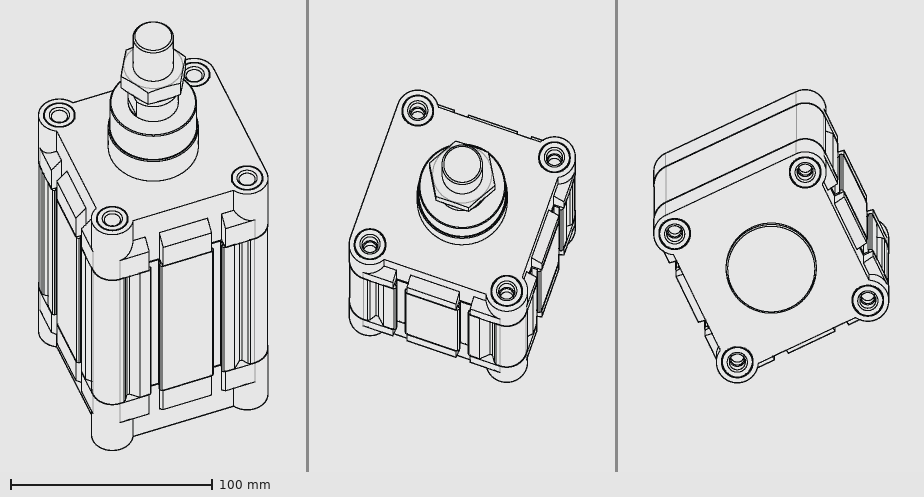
import cadquery as cq
import math


total_height = 258.0
rear_boss_height = 4.6
cap_height = 35.5
barrel_height = 96.5
lower_collar_height = 15.7
upper_collar_height = 18.5

rear_cap_bottom = rear_boss_height
barrel_bottom = rear_cap_bottom + cap_height
barrel_top = barrel_bottom + barrel_height
front_cap_top = barrel_top + cap_height
lower_collar_top = front_cap_top + lower_collar_height
collar_top = lower_collar_top + upper_collar_height

cap_width = 93.0
screw_spacing = 72.0
half_width = cap_width / 2
corner_offset = screw_spacing / 2
column_radius = half_width - corner_offset
barrel_inset = 0.3

plate_half_width = 41.0
block_depth = half_width - plate_half_width
block_height = 14.7
notch_inner = 13.0
notch_outer = 20.5
cap_blocks = [
    (-corner_offset, -notch_outer),
    (-notch_inner, notch_inner),
    (notch_outer, corner_offset),
]
relieved_side_angles = [-90, 0, 90]

screw_head_diameter = 15.0
screw_seat_diameter = 15.7
screw_seat_depth = 2.5
countersink_diameter = 10.0
socket_diameter = 8.0
socket_depth = 10.3
core_hole_diameter = 6.7
core_hole_depth = 18.0

slot_center = (notch_inner + notch_outer) / 2
slot_mouth_half_width = 3.0
slot_neck_half_width = 2.3
slot_mouth_depth = 0.8
slot_lip_depth = 1.8
slot_depth = 4.6
trench_inner_edge = 25.3
trench_floor_start = 29.5
trench_floor_end = 30.7
trench_chamfer_start = 32.8
trench_outer_edge = 33.8
trench_depth = 3.9
trench_chamfer_depth = 0.8

boss_diameter = 45.0
upper_collar_diameter = 43.0
rear_boss_chamfer = 0.8
collar_chamfer = 0.5

rod_diameter = 25.0
rod_shoulder_height = 11.5
wrench_flat_width = 22.2
wrench_flat_clearance = 0.8
thread_diameter = 20.0
thread_tip_diameter = 18.3

nut_across_flats = 30.0
nut_height = 10.0
nut_bottom = 225.0
nut_face_diameter = 29.5
nut_chamfer_angle = 15


def box_between(x_range, y_range, z_range):
    size = [high - low for low, high in (x_range, y_range, z_range)]
    corner = (x_range[0], y_range[0], z_range[0])
    return cq.Workplane("XY").box(*size, centered=False).translate(corner)


def cylinder(diameter, bottom, height):
    return cq.Workplane("XY").workplane(offset=bottom).circle(diameter / 2).extrude(height)


def corner_points():
    return [(x, y) for x in (-corner_offset, corner_offset) for y in (-corner_offset, corner_offset)]


def edge_block(start, end):
    """Raised block on the -Y side of a cap, with a 45 degree slope back to the plate."""
    profile = [
        (-plate_half_width, 0),
        (-half_width, 0),
        (-half_width, block_height),
        (-plate_half_width, block_height + block_depth),
    ]
    return cq.Workplane("YZ").workplane(offset=start).polyline(profile).close().extrude(end - start)


def screw_recess():
    """Ring gap around a screw head plus its stepped socket, sunk from the cap's top face."""
    ring = (
        cq.Workplane("XY").workplane(offset=cap_height)
        .circle(screw_seat_diameter / 2).circle(screw_head_diameter / 2).extrude(-screw_seat_depth)
    )
    socket_radius = socket_diameter / 2
    countersink_depth = (countersink_diameter - socket_diameter) / 2
    half_profile = [
        (0, cap_height),
        (countersink_diameter / 2, cap_height),
        (socket_radius, cap_height - countersink_depth),
        (socket_radius, cap_height - socket_depth),
        (core_hole_diameter / 2, cap_height - socket_depth),
        (core_hole_diameter / 2, cap_height - core_hole_depth),
        (0, cap_height - core_hole_depth),
    ]
    socket = cq.Workplane("XZ").polyline(half_profile).close().revolve(360, (0, 0, 0), (0, 1, 0))
    return ring.union(socket)


def make_cap():
    """End cap with its barrel side at Z = 0 and its outer face at the top."""
    z_range = (0, cap_height)
    plate_range = (-plate_half_width, plate_half_width)
    cap = box_between(plate_range, (-plate_half_width, corner_offset), z_range)
    cap = cap.union(box_between((-corner_offset, corner_offset), (0, half_width), z_range))
    cap = cap.union(cq.Workplane("XY").pushPoints(corner_points()).circle(column_radius).extrude(cap_height))
    for angle in relieved_side_angles:
        for start, end in cap_blocks:
            cap = cap.union(edge_block(start, end).rotate((0, 0, 0), (0, 0, 1), angle))
    for x, y in corner_points():
        cap = cap.cut(screw_recess().translate((x, y, 0)))
    return cap


def barrel_groove(points):
    """Full-length groove in the -Y side; points are (x, depth below the barrel face)."""
    face = -(half_width - barrel_inset)
    outline = [(x, face + depth) for x, depth in points]
    return cq.Workplane("XY").polyline(outline).close().extrude(barrel_height)


def sensor_slot():
    half_outline = [
        (slot_mouth_half_width, 0),
        (slot_neck_half_width, slot_mouth_depth),
        (slot_neck_half_width, slot_lip_depth),
        (slot_mouth_half_width, slot_lip_depth),
        (slot_mouth_half_width, slot_depth),
    ]
    right = [(slot_center + x, depth) for x, depth in half_outline]
    left = [(slot_center - x, depth) for x, depth in reversed(half_outline)]
    return barrel_groove(right + left)


def corner_trench():
    return barrel_groove([
        (trench_inner_edge, 0),
        (trench_floor_start, trench_depth),
        (trench_floor_end, trench_depth),
        (trench_chamfer_start, trench_chamfer_depth),
        (trench_outer_edge, 0),
    ])


def make_barrel():
    width = cap_width - 2 * barrel_inset
    barrel = cq.Workplane("XY").rect(width, width).extrude(barrel_height)
    barrel = barrel.edges("|Z").fillet(column_radius - barrel_inset)
    for angle in relieved_side_angles:
        for groove in (sensor_slot(), corner_trench()):
            for copy in (groove, groove.mirror("YZ")):
                barrel = barrel.cut(copy.rotate((0, 0, 0), (0, 0, 1), angle))
    return barrel


def make_housing():
    front_cap = make_cap().translate((0, 0, barrel_top))
    rear_cap = make_cap().mirror("XY").translate((0, 0, barrel_bottom))
    barrel = make_barrel().translate((0, 0, barrel_bottom))
    rear_boss = cylinder(boss_diameter, 0, rear_boss_height).faces("<Z").chamfer(rear_boss_chamfer)
    lower_collar = cylinder(boss_diameter, front_cap_top, lower_collar_height)
    lower_collar = lower_collar.faces(">Z").chamfer(collar_chamfer)
    upper_collar = cylinder(upper_collar_diameter, lower_collar_top, upper_collar_height)
    upper_collar = upper_collar.faces(">Z").chamfer(collar_chamfer)
    housing = barrel
    for piece in (front_cap, rear_cap, rear_boss, lower_collar, upper_collar):
        housing = housing.union(piece)
    return housing


def make_rod():
    """Rod standing on the collar: a shoulder with two wrench flats, then a thread chamfered at both ends."""
    shoulder_top = collar_top + rod_shoulder_height
    shoulder = cylinder(rod_diameter, collar_top, rod_shoulder_height)
    flat_range = (collar_top + wrench_flat_clearance, shoulder_top)
    for side in (-1, 1):
        y_range = sorted((side * wrench_flat_width / 2, side * rod_diameter / 2))
        shoulder = shoulder.cut(box_between((-rod_diameter / 2, rod_diameter / 2), y_range, flat_range))
    thread = cylinder(thread_diameter, shoulder_top, total_height - shoulder_top)
    thread = thread.faces("<Z or >Z").chamfer((thread_diameter - thread_tip_diameter) / 2)
    return shoulder.union(thread)


def make_nut():
    """Hexagon nut with two corners on the Y axis and cone-chamfered ends."""
    corner_radius = nut_across_flats / 2 / math.cos(math.radians(30))
    hexagon = cq.Workplane("XY").polygon(6, 2 * corner_radius).extrude(nut_height)
    hexagon = hexagon.rotate((0, 0, 0), (0, 0, 1), 90)
    face_radius = nut_face_diameter / 2
    drop = (corner_radius - face_radius) * math.tan(math.radians(nut_chamfer_angle))
    envelope_profile = [
        (0, 0),
        (face_radius, 0),
        (corner_radius, drop),
        (corner_radius, nut_height - drop),
        (face_radius, nut_height),
        (0, nut_height),
    ]
    envelope = cq.Workplane("XZ").polyline(envelope_profile).close().revolve(360, (0, 0, 0), (0, 1, 0))
    nut = hexagon.intersect(envelope).cut(cylinder(thread_diameter, 0, nut_height))
    return nut.translate((0, 0, nut_bottom))


housing = make_housing()
rod = make_rod()
nut = make_nut()

result = cq.Compound.makeCompound([body.solids().val() for body in (housing, rod, nut)])